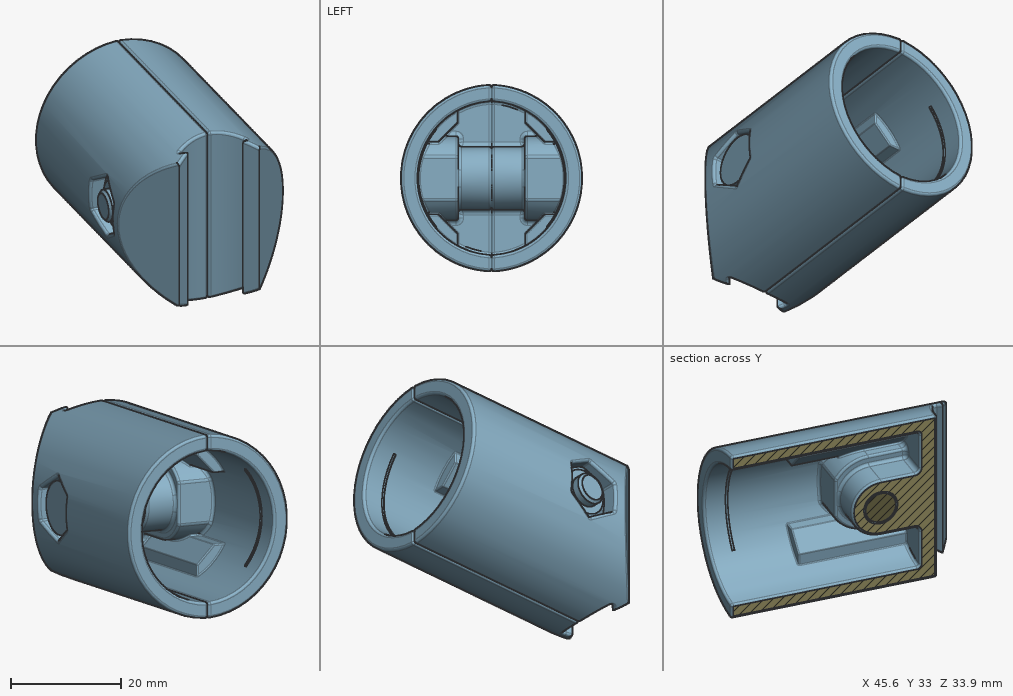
import cadquery as cq
import math


length = 45.55
outer_radius = 17.0
bore_radius = 14.0
axis_offset = 0.5
edge_radius = 0.5
end_wall_x = 37.0

saddle_radius = 12.0
saddle_bottom_x = 40.5
saddle_end_y = 6.65
saddle_corner_radius = 0.5
hook_x = 43.85
hook_y = 5.45
tip_y = 7.97

bolt_x = 29.45
column_radius = 5.75
bolt_hole_diameter = 6.5
boss_radius = 7.65
boss_inner_y = 6.05
boss_flat_distance = 6.55
boss_flat_radius = 1.0
boss_edge_radius = 0.45
boss_foot_radius = 0.6
mount_wall_radius = 0.9

pocket_across_flats = 10.25
pocket_floor_y = 8.95
pocket_corner_radius = 0.4

rib_start_x = 15.75
rib_inner_y = 6.15
rib_inner_z = 6.6
rib_face_distance = 11.5
rib_edge_radius = 0.25

ridge_x = 4.65
ridge_radius = 0.25
ridge_half_angle = 40.0

bolt_diameter = 6.0
bolt_tip_diameter = 4.9
bolt_tip_distance = 15.95
head_diameter = 10.0
head_height = 6.0
nut_across_flats = 10.0
nut_height = 5.0
nut_face_diameter = 8.85
nut_chamfer_angle = 30.0

corner_count = 6
corner_factor = 1 / math.cos(math.pi / corner_count)
oversize = 3 * outer_radius
tolerance = 0.025


def x_cylinder(radius, start_x, end_x):
    """Cylinder along X, on the axis of the +Y half."""
    plane = cq.Workplane("YZ", origin=(start_x, -axis_offset, 0))
    return plane.circle(radius).extrude(end_x - start_x)


def y_cylinder(diameter, start_y, end_y):
    """Cylinder around the bolt axis."""
    plane = cq.Workplane("XZ", origin=(bolt_x, start_y, 0))
    return plane.circle(diameter / 2).extrude(start_y - end_y)


def y_hexagon(across_flats, start_y, end_y):
    """Hexagonal prism around the bolt axis, with two corners on +Z and -Z."""
    plane = cq.Workplane("XZ", origin=(bolt_x, start_y, 0)).transformed(rotate=(0, 0, 90))
    return plane.polygon(corner_count, across_flats * corner_factor).extrude(start_y - end_y)


def wall_slot(radius, start_y, end_y):
    """Cylinder around the bolt axis, carried straight back to the end wall."""
    block = cq.Workplane("XY", origin=(bolt_x, start_y, 0)).box(
        end_wall_x - bolt_x, end_y - start_y, 2 * radius, centered=(False, False, True)
    )
    return y_cylinder(2 * radius, start_y, end_y).union(block)


def edges_where(body, keep):
    """Select the edges of a body for which keep(edge) holds."""
    return body.newObject([edge for edge in body.edges().vals() if keep(edge)])


def lies_on(edge, radius):
    """True if the edge lies on a cylinder of this radius about the +Y half's axis."""
    points = [edge.positionAt(fraction) for fraction in (0.2, 0.5, 0.8)]
    return all(abs(math.hypot(p.y + axis_offset, p.z) - radius) < tolerance for p in points)


def touches_outside(edge):
    """True if a point of the edge lies on the outer surface of the +Y half."""
    point = edge.positionAt(0.3)
    return math.hypot(point.y + axis_offset, point.z) > outer_radius - tolerance


def half_blank():
    """Solid half cylinder with the 45 degree face, hook and saddle at its +X end."""
    saddle_centre_x = saddle_bottom_x + saddle_radius
    end_angle = math.asin(saddle_end_y / saddle_radius)

    def saddle_point(angle):
        return (saddle_centre_x - saddle_radius * math.cos(angle), saddle_radius * math.sin(angle))

    def in_saddle_corner(edge):
        middle = edge.Center()
        return abs(middle.y - saddle_end_y) < tolerance and abs(middle.z) < 1

    outline = (
        cq.Workplane("XY", origin=(0, 0, -oversize / 2))
        .moveTo(0, 0)
        .lineTo(saddle_bottom_x, 0)
        .threePointArc(saddle_point(end_angle / 2), saddle_point(end_angle))
        .lineTo(hook_x, hook_y)
        .lineTo(length, tip_y)
        .lineTo(length + tip_y - outer_radius, outer_radius)
        .lineTo(0, outer_radius)
        .close()
        .extrude(oversize)
    )
    outline = edges_where(outline, in_saddle_corner).fillet(saddle_corner_radius)
    return outline.intersect(x_cylinder(outer_radius, 0, length))


def flat_boss():
    """Round boss for the pocket, with a flat facing the sleeve's open end."""
    flat_x = bolt_x - boss_flat_distance

    def beside_flat(edge):
        middle = edge.Center()
        return abs(middle.x - flat_x) < tolerance and abs(middle.z) > tolerance

    def around_end_face(edge):
        middle = edge.Center()
        return middle.y < boss_inner_y + tolerance and middle.x < end_wall_x - tolerance

    in_front_of_flat = cq.Workplane("XY").box(
        flat_x, 4 * outer_radius, 4 * outer_radius, centered=(False, True, True)
    )
    boss = wall_slot(boss_radius, boss_inner_y, outer_radius).cut(in_front_of_flat)
    boss = edges_where(boss.edges("|Y"), beside_flat).edges("|Y").fillet(boss_flat_radius)
    return edges_where(boss, around_end_face).fillet(boss_edge_radius)


def bolt_mount():
    """Boss and bolt column together, rounded where the column leaves the boss."""

    def at_column_foot(edge):
        middle = edge.Center()
        on_end_face = abs(middle.y - boss_inner_y) < tolerance
        beside_column = abs(edge.positionAt(0.3).z) < column_radius + tolerance
        return on_end_face and beside_column and middle.x < end_wall_x - tolerance

    mount = flat_boss().union(wall_slot(column_radius, -outer_radius, outer_radius))
    return edges_where(mount, at_column_foot).fillet(boss_foot_radius)


def stop_rib():
    """Rib in the +Y, +Z corner of the bore that stops the inserted pipe."""
    slant_sum = rib_face_distance * math.sqrt(2)

    def beside_slant(edge):
        middle = edge.Center()
        return max(middle.y, middle.z) < slant_sum - rib_inner_y + tolerance

    corner = (
        cq.Workplane("YZ", origin=(rib_start_x, 0, 0))
        .moveTo(rib_inner_y, slant_sum - rib_inner_y)
        .lineTo(slant_sum - rib_inner_z, rib_inner_z)
        .lineTo(outer_radius, rib_inner_z)
        .lineTo(outer_radius, outer_radius)
        .lineTo(rib_inner_y, outer_radius)
        .close()
        .extrude(end_wall_x - rib_start_x)
    )
    slant_edges = [edge for edge in corner.edges("|X").vals() if beside_slant(edge)]
    rib = corner.newObject(slant_edges).fillet(rib_edge_radius)
    return rib.faces("<X").edges().fillet(rib_edge_radius)


def retaining_ridge():
    """Low rounded ridge around part of the bore of the +Y half."""
    to_axis = -bore_radius
    ring = (
        cq.Workplane("XY", origin=(ridge_x, bore_radius - axis_offset, 0))
        .circle(ridge_radius)
        .revolve(2 * ridge_half_angle, (0, to_axis, 0), (1, to_axis, 0))
    )
    return ring.rotate((0, -axis_offset, 0), (1, -axis_offset, 0), -ridge_half_angle)


def cavity():
    """Inside of the +Y half: the bore less the mount, the ribs and the ridge."""

    def at_mount_foot(edge):
        middle = edge.Center()
        at_wall = middle.x > end_wall_x - tolerance
        return at_wall and middle.y > tolerance and not lies_on(edge, bore_radius)

    def inside_bore(edge):
        middle = edge.Center()
        return lies_on(edge, bore_radius) and middle.y > tolerance and middle.x > tolerance

    def at_rib_root(edge):
        middle = edge.Center()
        in_rib_zone = rib_start_x - 0.45 < middle.x < bolt_x - boss_flat_distance
        beside_rib = abs(middle.z) > rib_inner_z - rib_edge_radius
        return inside_bore(edge) and in_rib_zone and beside_rib

    plus_y_half = cq.Workplane("XY").box(
        3 * length, 2 * outer_radius, oversize, centered=(True, False, True)
    )
    space = x_cylinder(bore_radius, 0, end_wall_x).intersect(plus_y_half).cut(bolt_mount())
    space = edges_where(space, at_mount_foot).fillet(mount_wall_radius)
    space = edges_where(space, inside_bore).fillet(edge_radius)
    upper_rib = stop_rib()
    space = space.cut(upper_rib).cut(upper_rib.mirror("XY"))
    space = edges_where(space, at_rib_root).fillet(rib_edge_radius)
    return space.cut(retaining_ridge())


def half_shell():
    """Complete +Y half with its bolt hole and hexagonal pocket."""

    def on_open_edges(edge):
        middle = edge.Center()
        at_parting = middle.y < tolerance
        at_mouth = middle.x < tolerance
        on_outside = touches_outside(edge) and not lies_on(edge, bore_radius)
        return at_parting or at_mouth or on_outside

    def at_pocket_rim(edge):
        middle = edge.Center()
        from_bolt = max(abs(middle.x - bolt_x), abs(middle.z))
        near_pocket = from_bolt < pocket_across_flats * corner_factor / 2
        return touches_outside(edge) and near_pocket and middle.y > pocket_floor_y

    shell = half_blank().cut(cavity())
    shell = edges_where(shell, on_open_edges).fillet(edge_radius)
    shell = shell.cut(y_cylinder(bolt_hole_diameter, -0.45, outer_radius))
    pocket = y_hexagon(pocket_across_flats, pocket_floor_y, 2 * outer_radius)
    shell = shell.cut(pocket.edges("|Y").fillet(pocket_corner_radius))
    return edges_where(shell, at_pocket_rim).fillet(edge_radius)


def make_bolt():
    """Cylinder-head bolt seated in the +Y pocket, with a chamfered tip toward -Y."""
    tip_chamfer = (bolt_diameter - bolt_tip_diameter) / 2
    shank = y_cylinder(bolt_diameter, -bolt_tip_distance, pocket_floor_y)
    shank = shank.faces("<Y").chamfer(tip_chamfer)
    head = y_cylinder(head_diameter, pocket_floor_y, pocket_floor_y + head_height)
    return shank.union(head)


def make_nut():
    """Hexagonal nut seated in the -Y pocket, its outer corners cut by a cone."""
    seat_y = -pocket_floor_y
    face_y = seat_y - nut_height
    across_corners = nut_across_flats * corner_factor
    cone_height = (across_corners - nut_face_diameter) / 2 * math.tan(math.radians(nut_chamfer_angle))
    cone = (
        cq.Workplane("XZ", origin=(bolt_x, face_y, 0))
        .circle(nut_face_diameter / 2)
        .workplane(offset=-cone_height)
        .circle(across_corners / 2)
        .loft()
    )
    envelope = cone.union(y_cylinder(across_corners, face_y + cone_height, seat_y))
    body = y_hexagon(nut_across_flats, face_y, seat_y).intersect(envelope)
    return body.cut(y_cylinder(bolt_diameter, face_y, seat_y))


rear_shell = half_shell()
front_shell = rear_shell.rotate((0, 0, 0), (1, 0, 0), 180)
bolt = make_bolt()
nut = make_nut()

result = cq.Compound.makeCompound([rear_shell.val(), front_shell.val(), bolt.val(), nut.val()])